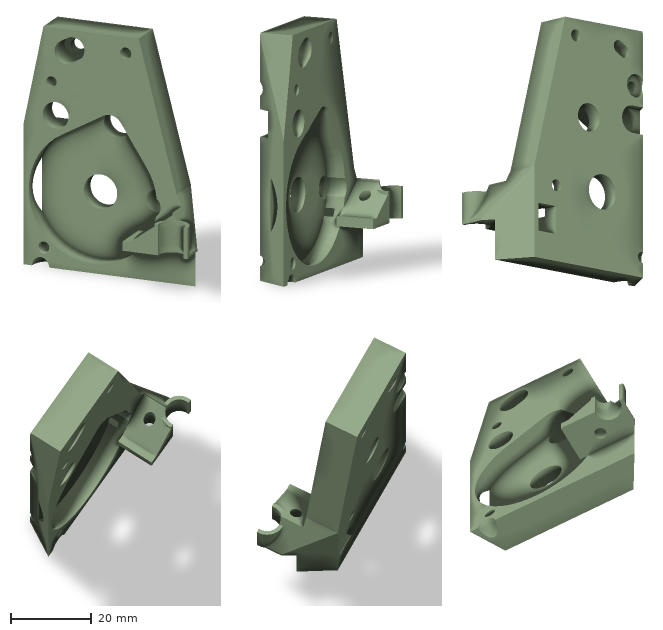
import cadquery as cq
import math

thickness = 8.95
height = 63.0
front_width = 46.8
side_angle = 30.0
top_left_x = 5.35
top_right_x = 31.3
left_corner_z = 37.1
right_bend_x, right_bend_z = 41.65, 23.5
foot_slope = 1.78

overall_width = 48.95
block_reach = 10.1
block_left_x = top_right_x
block_right_x = 48.65
block_bottom_z = 10.35
ledge_top_z = 12.8
ramp_start_x = 33.25
ramp_end_x, ramp_end_z = 43.2, 20.0
ring_outer_d = 9.0
ring_inner_d = 7.0
ring_top_z = 18.45
ring_setback = 0.5
ring_x = overall_width - ring_outer_d / 2
ring_y = ring_setback - block_reach
block_hole_x, block_hole_y = 39.3, -4.1

pocket_x, pocket_z = 18.85, 20.0
pocket_r = 17.45
pocket_depth = 4.9
tip_x, tip_z = 23.4, 38.35
tip_d = 7.25
bore_d = 9.0

screw_d = 3.0
pin_d = 2.8
head_d = 6.0
countersunk_x, countersunk_z = 34.3, 19.4
top_hole_x, top_hole_z = 27.8, 58.7
left_hole_x, left_hole_z = 7.55, 48.75
left_head_depth = 1.6
corner_hole_x, corner_hole_z = 5.5, 5.1
corner_chamfer = 0.2
side_hole_x, side_hole_z = 8.7, 40.05
side_hole_d = 7.0
side_slot_depth = 3.1
oblong_x, oblong_z = 12.5, 57.45
oblong_spacing = 2.1
oblong_angle = 30.0
oblong_d = 3.2
oblong_recess_d = 6.3
oblong_recess_depth = 6.3
notch_x = 4.6
notch_d = 4.8
notch_axis_z = -0.3
notch_tilt = 30.0
notch_length = 12.6
recess_left_x, recess_right_x = 34.4, 40.3
recess_bottom_z, recess_top_z = 6.9, 14.05
recess_front_y = 2.4

side_lean = math.tan(math.radians(side_angle))


def foot_edge_z(x):
    """Height of the lower right sloping edge at a given X."""
    return right_bend_z - foot_slope * (x - right_bend_x)


def along_y(start_y):
    """Sketch plane parallel to XZ whose extrusions run toward +Y."""
    return cq.Workplane(cq.Plane((0, start_y, 0), xDir=(1, 0, 0), normal=(0, 1, 0)))


def prism(points, start_y, depth):
    """Extrude an outline of (x, z) points toward +Y."""
    flipped = [(x, -z) for x, z in points]
    return along_y(start_y).polyline(flipped).close().extrude(depth)


def rod(x, z, diameter, start_y=0.0, depth=thickness):
    return along_y(start_y).center(x, -z).circle(diameter / 2).extrude(depth)


def cone(x, z, start_r, end_r, start_y, depth):
    shape = cq.Solid.makeCone(start_r, end_r, depth, cq.Vector(x, start_y, z), cq.Vector(0, 1, 0))
    return cq.Workplane(obj=shape)


def box(x0, x1, y0, y1, z0, z1):
    return cq.Workplane().box(x1 - x0, y1 - y0, z1 - z0, centered=False).translate((x0, y0, z0))


def post(x, y, diameter, bottom_z, top_z):
    return cq.Workplane(origin=(x, y, bottom_z)).circle(diameter / 2).extrude(top_z - bottom_z)


def make_plate():
    outline = [
        (0, 0),
        (front_width, 0),
        (front_width, foot_edge_z(front_width)),
        (right_bend_x, right_bend_z),
        (top_right_x, height),
        (top_left_x, height),
        (0, left_corner_z),
    ]
    lean = thickness * side_lean
    footprint = [(0, 0), (front_width, 0), (front_width - lean, thickness), (lean, thickness)]
    leaning_sides = cq.Workplane().polyline(footprint).close().extrude(height)
    return prism(outline, 0, thickness).intersect(leaning_sides)


def make_clamp():
    profile = [
        (block_left_x, block_bottom_z),
        (block_right_x, block_bottom_z),
        (block_right_x, foot_edge_z(block_right_x)),
        (ramp_end_x, foot_edge_z(ramp_end_x)),
        (ramp_end_x, ramp_end_z),
        (ramp_start_x, ledge_top_z),
        (block_left_x, ledge_top_z),
    ]
    block = prism(profile, -block_reach, block_reach)
    corner_y = -(block_right_x - front_width) / side_lean
    corner = [(front_width, 0), (block_right_x, corner_y), (block_right_x, 0)]
    block = block.cut(cq.Workplane().polyline(corner).close().extrude(height))

    ring = post(ring_x, ring_y, ring_outer_d, block_bottom_z, ring_top_z)
    ring = ring.intersect(box(block_left_x, overall_width + 0.6, -block_reach, 0, 0, height))
    bore = post(ring_x, ring_y, ring_inner_d, 0, height)
    screw_hole = post(block_hole_x, block_hole_y, screw_d, 0, height)
    return block.union(ring).cut(bore).cut(screw_hole)


def teardrop_pocket():
    """Two circles joined by their common outer tangents."""
    tip_r = tip_d / 2
    dx, dz = tip_x - pocket_x, tip_z - pocket_z
    axis = math.atan2(dz, dx)
    spread = math.acos((pocket_r - tip_r) / math.hypot(dx, dz))

    def tangent_points(angle):
        c, s = math.cos(angle), math.sin(angle)
        return [(cx + r * c, cz + r * s)
                for cx, cz, r in ((pocket_x, pocket_z, pocket_r), (tip_x, tip_z, tip_r))]

    right_low, right_high = tangent_points(axis - spread)
    left_low, left_high = tangent_points(axis + spread)
    tip_top = (tip_x + tip_r * math.cos(axis), tip_z + tip_r * math.sin(axis))
    pocket_bottom = (pocket_x - pocket_r * math.cos(axis), pocket_z - pocket_r * math.sin(axis))

    def flip(point):
        return (point[0], -point[1])

    return (along_y(0).moveTo(*flip(right_low))
            .lineTo(*flip(right_high))
            .threePointArc(flip(tip_top), flip(left_high))
            .lineTo(*flip(left_low))
            .threePointArc(flip(pocket_bottom), flip(right_low))
            .close().extrude(pocket_depth))


def oblong(diameter, depth):
    return (along_y(0).center(oblong_x, -oblong_z)
            .slot2D(oblong_spacing + diameter, diameter, -oblong_angle).extrude(depth))


def countersunk_hole():
    sink_depth = (head_d - screw_d) / 2
    clearance = rod(countersunk_x, countersunk_z, head_d, 0, pocket_depth)
    sink = cone(countersunk_x, countersunk_z, head_d / 2, screw_d / 2, pocket_depth, sink_depth)
    return clearance.union(sink).union(rod(countersunk_x, countersunk_z, screw_d))


def left_hole():
    head = rod(left_hole_x, left_hole_z, head_d, thickness - left_head_depth, left_head_depth)
    return head.union(rod(left_hole_x, left_hole_z, pin_d))


def corner_hole():
    pin_r = pin_d / 2
    mouth = cone(corner_hole_x, corner_hole_z, pin_r + corner_chamfer, pin_r, 0, corner_chamfer)
    return mouth.union(rod(corner_hole_x, corner_hole_z, pin_d))


def side_hole():
    """Through hole with a slot at the back that opens to the left side."""
    half = side_hole_d / 2
    slot = box(0, side_hole_x, thickness - side_slot_depth, thickness,
               side_hole_z - half, side_hole_z + half)
    return slot.union(rod(side_hole_x, side_hole_z, side_hole_d))


def bottom_notch():
    """Round notch that slopes down from the front face and runs out through the bottom."""
    tilt = math.radians(notch_tilt)
    axis = cq.Vector(0, math.cos(tilt), -math.sin(tilt))
    mouth = cq.Vector(notch_x, 0, notch_axis_z)
    start = mouth - axis * (notch_length / 2)
    return cq.Workplane(obj=cq.Solid.makeCylinder(notch_d / 2, notch_length, start, axis))


plate_cuts = [
    teardrop_pocket(),
    rod(tip_x, tip_z, tip_d),
    rod(pocket_x, pocket_z, bore_d),
    oblong(oblong_recess_d, oblong_recess_depth),
    oblong(oblong_d, thickness),
    rod(top_hole_x, top_hole_z, screw_d),
    countersunk_hole(),
    left_hole(),
    corner_hole(),
    side_hole(),
    bottom_notch(),
    box(recess_left_x, recess_right_x, recess_front_y, thickness, recess_bottom_z, recess_top_z),
]

plate = make_plate()
for cutter in plate_cuts:
    plate = plate.cut(cutter)

result = plate.union(make_clamp())